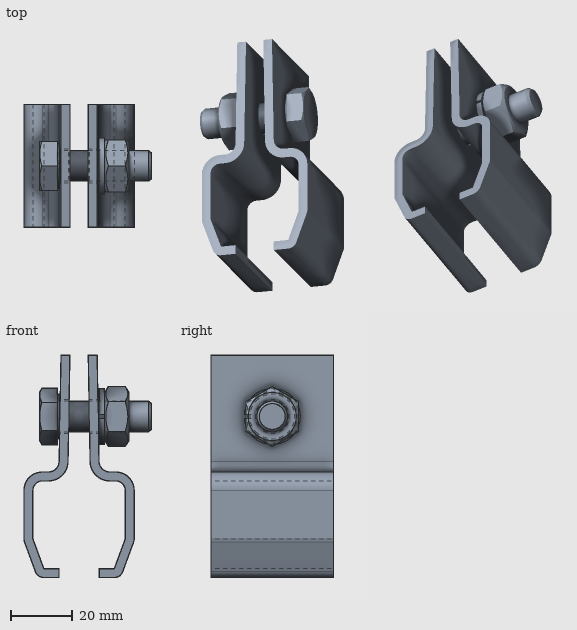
import cadquery as cq
import math

CLIP_HEIGHT = 72.5
CLIP_LENGTH = 40.0
SHEET = 3.0
WALL_OUTER_X = 18.0
LIP_END_X = 6.5
LIP_CORNER_X = 11.45
SLOPE_TOP_Z = 12.6
SHOULDER_Z = 34.45
SHOULDER_BEND = 6.0
NECK_BEND = 3.5
NECK_X = 10.0
LEG_LEAN = math.radians(1.0)
CLIP_HOLE_DIA = 11.0

BOLT_Z = 52.5
BOLT_DIA = 10.0
BOLT_TIP_DIA = 8.4
BOLT_TIP_LENGTH = 1.0
BOLT_END_X = 23.6
HEAD_OUTER_X = -12.8
HEAD_INNER_X = -7.0
HEAD_FLATS = 16.0
HEAD_CROWN_DIA = 15.95
HEAD_CROWN_DEPTH = 0.7
BEARING_DIA = 14.65

WASHER_START_X = 6.5
WASHER_DIA = 18.3
WASHER_BORE = 10.2
WASHER_GAP = 1.2
NUT_START_X = 8.3
NUT_END_X = 16.3
NUT_FLATS = 17.0
NUT_CROWN_DIA = 15.65
NUT_CROWN_DEPTH = 1.3


def polar(center, radius, angle):
    """Point at an angle in radians on a circle in the XZ plane."""
    return (center[0] + radius * math.cos(angle), center[1] + radius * math.sin(angle))


def leg_outer_x(z):
    """X of the outer face of a leaning upper leg at height z."""
    tangent_x, tangent_z = polar((NECK_X, SHOULDER_Z + NECK_BEND), NECK_BEND, math.pi + LEG_LEAN)
    return tangent_x - (z - tangent_z) * math.tan(LEG_LEAN)


def x_cylinder(diameter, start, end):
    """Cylinder on the bolt axis between two X positions."""
    return (
        cq.Workplane("YZ", origin=(start, 0, BOLT_Z))
        .circle(diameter / 2)
        .extrude(end - start)
    )


def x_cone(start, start_dia, end, end_dia):
    """Truncated cone on the bolt axis, from one X position to another."""
    return cq.Workplane(obj=cq.Solid.makeCone(
        start_dia / 2, end_dia / 2, abs(end - start),
        pnt=cq.Vector(start, 0, BOLT_Z),
        dir=cq.Vector(math.copysign(1, end - start), 0, 0),
    ))


def hexagon(flats, start, end):
    """Hexagonal prism on the bolt axis with two corners pointing up and down."""
    corners = flats / math.cos(math.pi / 6)
    return (
        cq.Workplane("YZ", origin=(start, 0, BOLT_Z))
        .transformed(rotate=(0, 0, 90))
        .polygon(6, corners)
        .extrude(end - start)
    )


def crown_envelope(flats, crown_x, crown_dia, crown_depth, far_x):
    """Cone that bevels the hexagon corners at crown_x, continued as a cylinder to far_x."""
    corners = flats / math.cos(math.pi / 6)
    base_x = crown_x + math.copysign(crown_depth, far_x - crown_x)
    crown = x_cone(crown_x, crown_dia, base_x, corners)
    return crown.union(x_cylinder(corners, min(base_x, far_x), max(base_x, far_x)))


def make_clip():
    """Clip half on the +X side, bent from sheet of constant thickness."""
    wall_inner_x = WALL_OUTER_X - SHEET
    lip_corner = (LIP_CORNER_X, SHEET)
    wall_corner = (wall_inner_x, SLOPE_TOP_Z)
    slope_normal = -math.atan2(wall_inner_x - LIP_CORNER_X, SLOPE_TOP_Z - SHEET)
    shoulder_center = (WALL_OUTER_X - SHOULDER_BEND, SHOULDER_Z - SHOULDER_BEND)
    shoulder_inner = SHOULDER_BEND - SHEET
    neck_center = (NECK_X, SHOULDER_Z + NECK_BEND)
    neck_outer = NECK_BEND + SHEET
    down = -math.pi / 2
    up = math.pi / 2
    leg_side = -math.pi + LEG_LEAN
    neck_middle = (down + leg_side) / 2
    leg_top = (leg_outer_x(CLIP_HEIGHT), CLIP_HEIGHT)

    profile = (
        cq.Workplane("XZ")
        .moveTo(LIP_END_X, 0)
        .lineTo(LIP_CORNER_X, 0)
        .threePointArc(polar(lip_corner, SHEET, (down + slope_normal) / 2),
                       polar(lip_corner, SHEET, slope_normal))
        .lineTo(*polar(wall_corner, SHEET, slope_normal))
        .threePointArc(polar(wall_corner, SHEET, slope_normal / 2), polar(wall_corner, SHEET, 0))
        .lineTo(*polar(shoulder_center, SHOULDER_BEND, 0))
        .threePointArc(polar(shoulder_center, SHOULDER_BEND, up / 2),
                       polar(shoulder_center, SHOULDER_BEND, up))
        .lineTo(*polar(neck_center, NECK_BEND, down))
        .threePointArc(polar(neck_center, NECK_BEND, neck_middle),
                       polar(neck_center, NECK_BEND, leg_side))
        .lineTo(*leg_top)
        .lineTo(*polar(leg_top, SHEET, leg_side))
        .lineTo(*polar(neck_center, neck_outer, leg_side))
        .threePointArc(polar(neck_center, neck_outer, neck_middle),
                       polar(neck_center, neck_outer, down))
        .lineTo(*polar(shoulder_center, shoulder_inner, up))
        .threePointArc(polar(shoulder_center, shoulder_inner, up / 2),
                       polar(shoulder_center, shoulder_inner, 0))
        .lineTo(*wall_corner)
        .lineTo(*lip_corner)
        .lineTo(LIP_END_X, SHEET)
        .close()
    )
    strip = profile.extrude(CLIP_LENGTH / 2, both=True)
    return strip.cut(x_cylinder(CLIP_HOLE_DIA, 0, WALL_OUTER_X))


def make_bolt():
    """Hexagon bolt with a bevelled head, a round bearing face and a chamfered tip."""
    head = hexagon(HEAD_FLATS, HEAD_OUTER_X, HEAD_INNER_X).intersect(
        crown_envelope(HEAD_FLATS, HEAD_OUTER_X, HEAD_CROWN_DIA, HEAD_CROWN_DEPTH, HEAD_INNER_X)
    )
    bearing_x = -leg_outer_x(BOLT_Z - BEARING_DIA / 2)
    bearing = x_cylinder(BEARING_DIA, HEAD_INNER_X, bearing_x)
    tip_start = BOLT_END_X - BOLT_TIP_LENGTH
    shank = x_cylinder(BOLT_DIA, HEAD_INNER_X, tip_start)
    tip = x_cone(tip_start, BOLT_DIA, BOLT_END_X, BOLT_TIP_DIA)
    return head.union(bearing).union(shank).union(tip)


def make_spring_washer():
    """Ring with a slot cut through its -Y side."""
    ring = x_cylinder(WASHER_DIA, WASHER_START_X, NUT_START_X)
    bore = x_cylinder(WASHER_BORE, WASHER_START_X, NUT_START_X)
    thickness = NUT_START_X - WASHER_START_X
    gap = (
        cq.Workplane("XY", origin=(WASHER_START_X, 0, BOLT_Z))
        .box(thickness, WASHER_DIA, WASHER_GAP, centered=(False, False, True))
        .translate((0, -WASHER_DIA, 0))
    )
    return ring.cut(bore).cut(gap)


def make_nut():
    """Hexagon nut with its corners bevelled at both ends."""
    nut = hexagon(NUT_FLATS, NUT_START_X, NUT_END_X)
    for crown_x, far_x in ((NUT_START_X, NUT_END_X), (NUT_END_X, NUT_START_X)):
        nut = nut.intersect(
            crown_envelope(NUT_FLATS, crown_x, NUT_CROWN_DIA, NUT_CROWN_DEPTH, far_x)
        )
    return nut.cut(x_cylinder(BOLT_DIA, NUT_START_X, NUT_END_X))


right_clip = make_clip()
clips = [right_clip, right_clip.mirror("YZ")]
bolt = make_bolt()
spring_washer = make_spring_washer()
nut = make_nut()

result = cq.Compound.makeCompound([
    *[clip.solids().val() for clip in clips],
    bolt.solids().val(),
    spring_washer.solids().val(),
    nut.solids().val(),
])